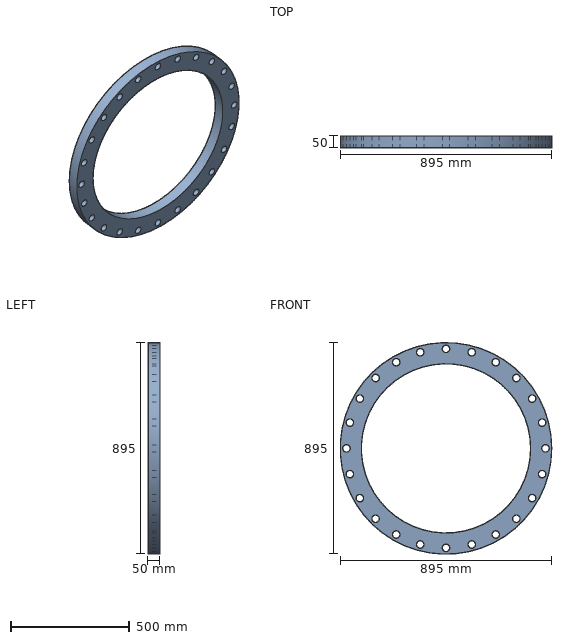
import cadquery as cq

outer_diameter = 895.0
bore_diameter = 714.0
thickness = 50.0
bolt_circle_diameter = 841.0
bolt_hole_diameter = 30.0
bolt_hole_count = 24


def make_ring():
    """Plain annular plate with its back face on the XZ plane."""
    return (
        cq.Workplane("XZ")
        .circle(outer_diameter / 2)
        .circle(bore_diameter / 2)
        .extrude(thickness)
    )


def make_bolt_holes():
    """Cylinders evenly spaced on the bolt circle, the first one on the X axis."""
    return (
        cq.Workplane("XZ")
        .polarArray(bolt_circle_diameter / 2, 0, 360, bolt_hole_count)
        .circle(bolt_hole_diameter / 2)
        .extrude(thickness)
    )


result = make_ring().cut(make_bolt_holes())